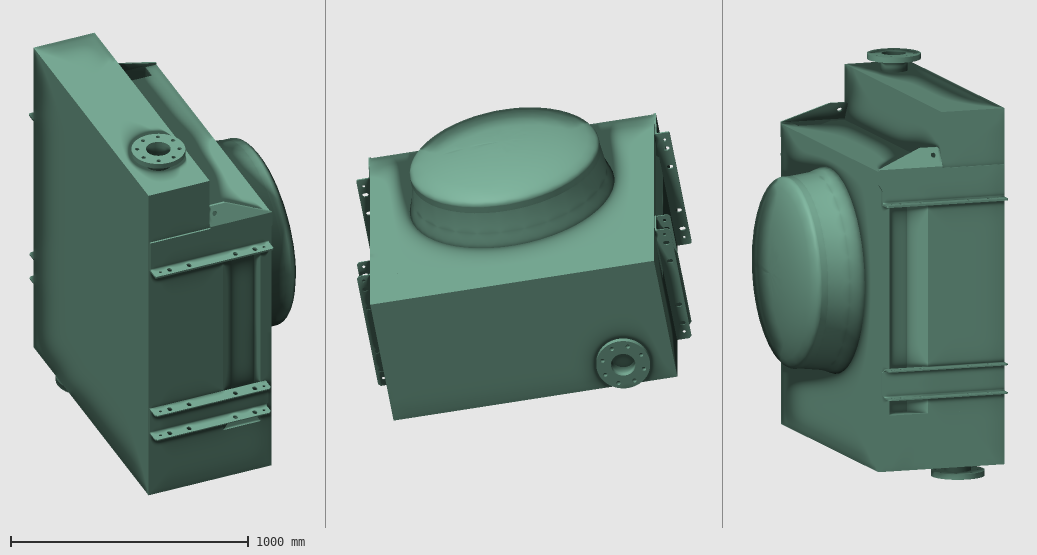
import cadquery as cq
import math


HALF_WIDTH = 606.0
DEPTH = 565.0
CORE_HEIGHT = 1045.0
RECESS_DEPTH = 68.0
RECESS_REAR = 50.0
RECESS_LENGTH = 104.0

DOME_HEIGHT = 265.0
DOME_RADIUS = 405.0
SKIRT_RADIUS = 418.0
FOOT_RADIUS = 438.0
FLARE_HEIGHT = 58.0
SKIRT_HEIGHT = 152.0
BAND_HEIGHT = 180.0

TANK_HEIGHT = 239.0
TOP_TANK_DEPTH = 280.0
NOZZLE_X = 399.0
NOZZLE_Y = 135.0
NECK_LENGTH = 50.0
NECK_DIAMETER = 114.0
BORE_DIAMETER = 104.0
FLANGE_DIAMETER = 227.0
FLANGE_THICKNESS = 23.0
BOLT_CIRCLE_DIAMETER = 179.0
BOLT_HOLE_DIAMETER = 18.0
BOLT_COUNT = 8

FLANGE_REACH = 670.0
HOLE_X = 643.0
BRACKET_FRONT = 5.0
BRACKET_REAR = DEPTH - 17.0
HOLE_MIDDLE = (BRACKET_FRONT + BRACKET_REAR) / 2
PIN_HOLE_SPACING = 475.0
PIN_HOLE_DIAMETER = 13.0
OUTER_SLOT_SPACING = 390.0
INNER_SLOT_SPACING = 212.0
SLOT_LENGTH = 27.0
SLOT_WIDTH = 18.0
BEND_RADIUS = 7.0

UPPER_SHEET = 8.0
UPPER_BOTTOM = CORE_HEIGHT - 145.0
UPPER_CORNER = 5.0
LUG_BEND = CORE_HEIGHT + 8.0
LUG_TOP = CORE_HEIGHT + 84.0
LUG_LEAN = 30
LUG_SLOPE_LENGTH = 200.0
LUG_CORNER = 8.0
LUG_HOLE_DIAMETER = 22.0
LUG_HOLE_Y = DEPTH - 252.0
LUG_HOLE_DROP = 30.0
REAR_TAPER_TOP = CORE_HEIGHT - 57.0
REAR_TAPER_BOTTOM = CORE_HEIGHT - 84.0

LOWER_SHEET = 5.0
LOWER_BOTTOM = 73.0
LOWER_HEIGHT = 127.0
LOWER_CORNER = 10.0


def block(x_half, y_low, y_high, z_low, z_high):
    """Box centred on X between the given Y and Z limits."""
    return (
        cq.Workplane("XY")
        .box(2 * x_half, y_high - y_low, z_high - z_low, centered=(True, False, False))
        .translate((0, y_low, z_low))
    )


def mirror_to_right(body):
    return body.mirror("YZ")


def make_fan_dome():
    """Solid of revolution about the Y axis through the middle of the rear face."""
    return (
        cq.Workplane("XY", origin=(0, DEPTH, CORE_HEIGHT / 2))
        .moveTo(DOME_RADIUS, BAND_HEIGHT)
        .lineTo(DOME_RADIUS, SKIRT_HEIGHT)
        .spline([(SKIRT_RADIUS, FLARE_HEIGHT), (FOOT_RADIUS, 0)], includeCurrent=True)
        .lineTo(0, 0)
        .lineTo(0, DOME_HEIGHT)
        .ellipseArc(DOME_RADIUS, DOME_HEIGHT - BAND_HEIGHT, 0, 90, sense=-1)
        .close()
        .revolve(360, (0, 0), (0, 1))
    )


def make_core():
    """Core block with a full-height recess in each side and the fan dome on its rear."""
    recess_rear = DEPTH - RECESS_REAR
    floor_front = recess_rear - RECESS_LENGTH
    floor_x = -HALF_WIDTH + RECESS_DEPTH
    recess = (
        cq.Workplane("XY")
        .polyline([
            (-HALF_WIDTH, recess_rear),
            (floor_x, recess_rear),
            (floor_x, floor_front),
            (-HALF_WIDTH, floor_front - RECESS_DEPTH),
        ])
        .close()
        .extrude(CORE_HEIGHT)
    )
    body = block(HALF_WIDTH, 0, DEPTH, 0, CORE_HEIGHT)
    return body.cut(recess).cut(mirror_to_right(recess)).union(make_fan_dome())


def make_nozzle():
    """Upright flanged pipe standing on z = 0 at the origin."""
    neck = cq.Workplane("XY").circle(NECK_DIAMETER / 2).extrude(NECK_LENGTH)
    flange = (
        cq.Workplane("XY", origin=(0, 0, NECK_LENGTH))
        .circle(FLANGE_DIAMETER / 2)
        .extrude(FLANGE_THICKNESS)
        .faces(">Z").workplane()
        .polarArray(BOLT_CIRCLE_DIAMETER / 2, 180 / BOLT_COUNT, 360, BOLT_COUNT)
        .hole(BOLT_HOLE_DIAMETER)
    )
    bore = cq.Workplane("XY").circle(BORE_DIAMETER / 2).extrude(NECK_LENGTH + FLANGE_THICKNESS)
    return neck.union(flange).cut(bore)


def make_top_tank():
    tank_top = CORE_HEIGHT + TANK_HEIGHT
    tank = block(HALF_WIDTH, 0, TOP_TANK_DEPTH, CORE_HEIGHT, tank_top)
    return tank.union(make_nozzle().translate((NOZZLE_X, NOZZLE_Y, tank_top)))


def make_bottom_tank():
    tank = block(HALF_WIDTH, 0, DEPTH, -TANK_HEIGHT, 0)
    nozzle = make_nozzle().mirror("XY").translate((-NOZZLE_X, NOZZLE_Y, -TANK_HEIGHT))
    return tank.union(nozzle)


def extrude_section(points):
    """Extrude an XZ section over the whole depth of the core."""
    return cq.Workplane("XZ", origin=(0, DEPTH, 0)).polyline(points).close().extrude(DEPTH)


def extrude_side_outline(points):
    """Extrude a YZ outline across the left half of the cooler."""
    return cq.Workplane("YZ").polyline(points).close().extrude(-FLANGE_REACH)


def flange_holes(bottom, top):
    """Cutters for the pin holes and slots of the left flanges between two heights."""

    def row(spacing):
        centres = [(-HOLE_X, HOLE_MIDDLE + side * spacing / 2) for side in (-1, 1)]
        return cq.Workplane("XY", origin=(0, 0, bottom)).pushPoints(centres)

    height = top - bottom
    cutters = row(PIN_HOLE_SPACING).circle(PIN_HOLE_DIAMETER / 2).extrude(height)
    for spacing in (INNER_SLOT_SPACING, OUTER_SLOT_SPACING):
        cutters = cutters.union(row(spacing).slot2D(SLOT_LENGTH, SLOT_WIDTH).extrude(height))
    return cutters


def make_upper_bracket():
    """Left angle bracket whose web carries a lifting lug leaning over the core."""
    web_x = -HALF_WIDTH - UPPER_SHEET
    flange_top = UPPER_BOTTOM + UPPER_SHEET
    lean = math.radians(LUG_LEAN)
    top_shift = (LUG_TOP - LUG_BEND) * math.tan(lean)
    sheet_across_lug = UPPER_SHEET / math.cos(lean)
    inner_bend = LUG_BEND - UPPER_SHEET * math.tan(lean / 2)

    bracket = extrude_section([
        (-HALF_WIDTH, UPPER_BOTTOM),
        (-FLANGE_REACH, UPPER_BOTTOM),
        (-FLANGE_REACH, flange_top),
        (web_x, flange_top),
        (web_x, LUG_BEND),
        (web_x + top_shift, LUG_TOP),
        (web_x + top_shift + sheet_across_lug, LUG_TOP),
        (-HALF_WIDTH, inner_bend),
    ])
    inside_corner = cq.selectors.NearestToPointSelector((web_x, DEPTH / 2, flange_top))
    bracket = bracket.edges(inside_corner).fillet(BEND_RADIUS)

    outline = extrude_side_outline([
        (BRACKET_FRONT, UPPER_BOTTOM),
        (BRACKET_FRONT, CORE_HEIGHT),
        (TOP_TANK_DEPTH, CORE_HEIGHT),
        (TOP_TANK_DEPTH, LUG_TOP - LUG_CORNER),
        (TOP_TANK_DEPTH + LUG_CORNER, LUG_TOP),
        (DEPTH - LUG_SLOPE_LENGTH, LUG_TOP),
        (DEPTH, LUG_BEND),
        (DEPTH, REAR_TAPER_TOP),
        (BRACKET_REAR, REAR_TAPER_BOTTOM),
        (BRACKET_REAR, UPPER_BOTTOM),
    ])
    bracket = bracket.intersect(outline)
    bracket = bracket.edges("|Z and <X").chamfer(UPPER_CORNER)

    hole_z = LUG_TOP - LUG_HOLE_DROP
    hole_x = web_x + (hole_z - LUG_BEND) * math.tan(lean)
    lug_normal = (-math.cos(lean), 0, math.sin(lean))
    lug_plane = cq.Plane(origin=(hole_x, LUG_HOLE_Y, hole_z), xDir=(0, 1, 0), normal=lug_normal)
    lug_hole = cq.Workplane(lug_plane).circle(LUG_HOLE_DIAMETER / 2).extrude(2 * UPPER_SHEET, both=True)
    return bracket.cut(lug_hole).cut(flange_holes(UPPER_BOTTOM, flange_top))


def make_lower_bracket():
    """Left channel bracket with its two flanges pointing outward."""
    web_x = -HALF_WIDTH - LOWER_SHEET
    top = LOWER_BOTTOM + LOWER_HEIGHT
    lower_inside = LOWER_BOTTOM + LOWER_SHEET
    upper_inside = top - LOWER_SHEET

    bracket = extrude_section([
        (-HALF_WIDTH, LOWER_BOTTOM),
        (-FLANGE_REACH, LOWER_BOTTOM),
        (-FLANGE_REACH, lower_inside),
        (web_x, lower_inside),
        (web_x, upper_inside),
        (-FLANGE_REACH, upper_inside),
        (-FLANGE_REACH, top),
        (-HALF_WIDTH, top),
    ])
    for inside_z in (lower_inside, upper_inside):
        inside_corner = cq.selectors.NearestToPointSelector((web_x, DEPTH / 2, inside_z))
        bracket = bracket.edges(inside_corner).fillet(BEND_RADIUS)

    outline = extrude_side_outline([
        (BRACKET_FRONT, LOWER_BOTTOM),
        (BRACKET_FRONT, top),
        (BRACKET_REAR - LOWER_CORNER, top),
        (BRACKET_REAR - LOWER_CORNER, upper_inside),
        (BRACKET_REAR, upper_inside - LOWER_CORNER),
        (BRACKET_REAR, lower_inside + LOWER_CORNER),
        (BRACKET_REAR - LOWER_CORNER, lower_inside),
        (BRACKET_REAR - LOWER_CORNER, LOWER_BOTTOM),
    ])
    bracket = bracket.intersect(outline)
    bracket = bracket.edges("|Z and <X").chamfer(LOWER_CORNER)
    return bracket.cut(flange_holes(LOWER_BOTTOM, top))


bodies = [make_core().val(), make_top_tank().val(), make_bottom_tank().val()]
for left_bracket in (make_upper_bracket(), make_lower_bracket()):
    bodies.append(left_bracket.val())
    bodies.append(mirror_to_right(left_bracket).val())

result = cq.Compound.makeCompound(bodies)